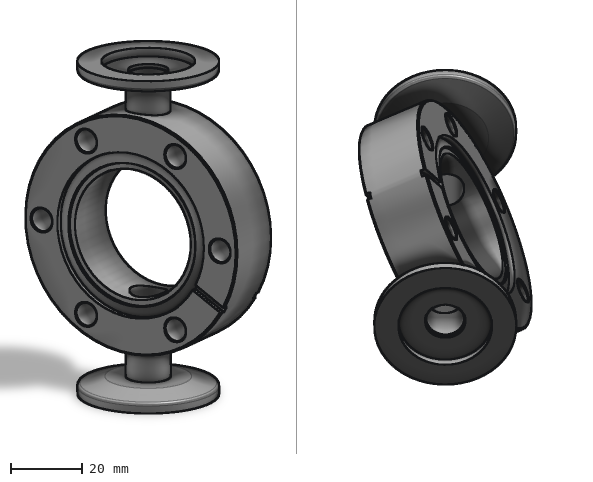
import cadquery as cq
import math

overall_height = 97.6

ring_diameter = 70.0
ring_width = 19.0
ring_edge_chamfer = 0.4
ring_bore_diameter = 38.2
recess_diameter = 48.3
recess_depth = 1.8
knife_diameter = 41.9
knife_slope_angle = 20.0
knife_back_width = 0.2
knife_back_depth = 0.6

bolt_count = 6
bolt_circle_diameter = 58.8
bolt_hole_diameter = 6.6
bolt_hole_chamfer = 0.3
groove_width = 1.9
groove_depth = 1.5
groove_angle = 30.0

tube_diameter = 12.7
tube_bore_diameter = 10.6

clamp_diameter = 40.0
clamp_thickness = 5.1
clamp_flat_diameter = 24.4
clamp_taper_angle = 15.0
clamp_edge_fillet = 1.0
clamp_recess_diameter = 26.4
clamp_recess_depth = 2.5
clamp_bore_diameter = 11.3
clamp_bore_depth = 1.1

ring_radius = ring_diameter / 2
half_width = ring_width / 2
half_height = overall_height / 2
recess_radius = recess_diameter / 2
knife_radius = knife_diameter / 2
knife_height = (recess_radius - knife_radius) * math.tan(math.radians(knife_slope_angle))
knife_y = half_width - recess_depth + knife_height
clamp_taper_height = (clamp_diameter - clamp_flat_diameter) / 2 * math.tan(math.radians(clamp_taper_angle))
clamp_rim_height = clamp_thickness - clamp_taper_height
tube_end_depth = clamp_recess_depth + clamp_bore_depth


def cylinder_y(diameter, start, length):
    """Solid cylinder along Y, from y = start."""
    return cq.Workplane("XZ", origin=(0, start, 0)).circle(diameter / 2).extrude(-length)


def cylinder_z(diameter, start, end):
    """Solid cylinder along Z between two heights."""
    return cq.Workplane("XY", origin=(0, 0, start)).circle(diameter / 2).extrude(end - start)


def make_ring_blank():
    """Ring turned about Y, with a knife edge in a recess on both faces."""
    bore_radius = ring_bore_diameter / 2
    front_half = [
        (ring_radius, half_width - ring_edge_chamfer),
        (ring_radius - ring_edge_chamfer, half_width),
        (recess_radius, half_width),
        (recess_radius, half_width - recess_depth),
        (knife_radius, knife_y),
        (knife_radius - knife_back_width, knife_y - knife_back_depth),
        (bore_radius, knife_y - knife_back_depth),
    ]
    back_half = [(radius, -y) for radius, y in reversed(front_half)]
    profile = cq.Workplane("XY").polyline(front_half + back_half).close()
    return profile.revolve(360, (0, 0, 0), (0, 1, 0))


def make_bolt_hole_cutter():
    """Through-hole cutter along Y, widened at both ends for the edge chamfers."""
    hole_radius = bolt_hole_diameter / 2
    wide_radius = hole_radius + bolt_hole_chamfer
    outline = [
        (0, -half_width),
        (wide_radius, -half_width),
        (hole_radius, -half_width + bolt_hole_chamfer),
        (hole_radius, half_width - bolt_hole_chamfer),
        (wide_radius, half_width),
        (0, half_width),
    ]
    return cq.Workplane("XY").polyline(outline).close().revolve(360, (0, 0, 0), (0, 1, 0))


def make_groove_cutter(side):
    """Radial slot from the recess to the rim, on the face at y = side * half_width."""
    start = math.sqrt(recess_radius**2 - (groove_width / 2) ** 2)
    length = ring_radius - start
    slot = cq.Workplane("XY").box(length, groove_depth, groove_width)
    slot = slot.translate((start + length / 2, side * (half_width - groove_depth / 2), 0))
    return slot.rotate((0, 0, 0), (0, 1, 0), groove_angle)


def make_ring():
    ring = make_ring_blank()
    bolt_hole = make_bolt_hole_cutter().translate((bolt_circle_diameter / 2, 0, 0))
    for index in range(bolt_count):
        ring = ring.cut(bolt_hole.rotate((0, 0, 0), (0, 1, 0), index * 360 / bolt_count))
    for side in (-1, 1):
        ring = ring.cut(make_groove_cutter(side))
    return ring.cut(cylinder_z(tube_bore_diameter, -half_height, half_height))


def make_tube():
    """Upper tube, saddle-cut to sit on the ring's rim and ending inside the clamp flange."""
    tube = cylinder_z(tube_diameter, 0, half_height - tube_end_depth)
    tube = tube.cut(cylinder_z(tube_bore_diameter, 0, half_height))
    return tube.cut(cylinder_y(ring_diameter, -half_width, ring_width))


def make_clamp_flange():
    """Upper clamp flange, with a tapered back, a face recess and a stepped bore for the tube."""
    rim_radius = clamp_diameter / 2
    rim_z = half_height - clamp_rim_height
    back_z = half_height - clamp_thickness
    outline = [
        (0, half_height),
        (rim_radius, half_height),
        (rim_radius, rim_z),
        (clamp_flat_diameter / 2, back_z),
        (0, back_z),
    ]
    flange = cq.Workplane("XZ").polyline(outline).close().revolve(360, (0, 0, 0), (0, 1, 0))
    rim_edge_zone = cq.selectors.BoxSelector(
        (-clamp_diameter, -clamp_diameter, rim_z - clamp_edge_fillet / 2),
        (clamp_diameter, clamp_diameter, rim_z + clamp_edge_fillet / 2),
    )
    flange = flange.edges("%CIRCLE").edges(rim_edge_zone).fillet(clamp_edge_fillet)
    flange = flange.cut(cylinder_z(clamp_recess_diameter, half_height - clamp_recess_depth, half_height))
    flange = flange.cut(cylinder_z(clamp_bore_diameter, back_z, half_height))
    return flange.cut(cylinder_z(tube_diameter, back_z, half_height - tube_end_depth))


bodies = [make_ring().val()]
for turn in (0, 180):
    for upper_body in (make_tube(), make_clamp_flange()):
        bodies.append(upper_body.rotate((0, 0, 0), (0, 1, 0), turn).val())

result = cq.Compound.makeCompound(bodies)